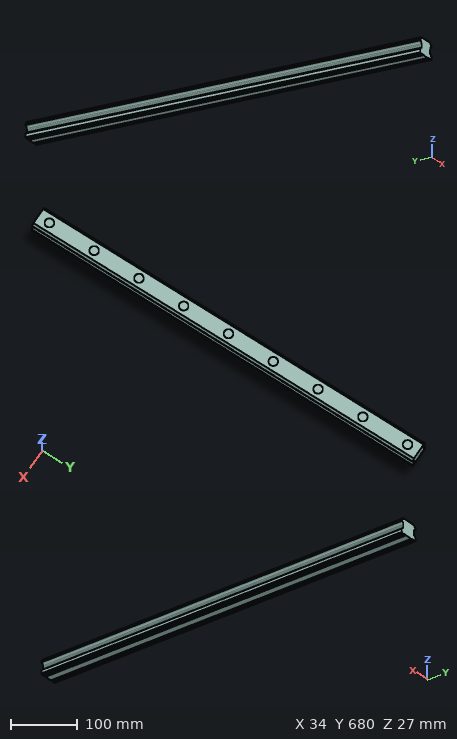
import cadquery as cq

length = 680
width = 34
height = 27

bottom_chamfer = 1.5
base_side_top = 7.0
base_slope_top = 10.0

neck_width = 26.5
waist_width = 26.0
waist_bottom = 13.0
waist_top = 15.0
neck_top = 17.0

half_width = width / 2
head_side_bottom = 20.5
head_side_top = 23.0
lower_groove_mid = (14.0, 19.3)
upper_groove_mid = (15.0, 24.0)
upper_groove_end = (13.5, 26.0)
top_width = 26.5

relief_width = 4.0
relief_depth = 1.0
relief_offset = 9.0

hole_count = 9
hole_pitch = length / 8.5
hole_diameter = 14.0
hole_depth = 1.0


def make_rail():
    """Extrude the right half of the rail section along Y and mirror it about the YZ plane."""
    half_section = (
        cq.Workplane("XZ")
        .lineTo(half_width - bottom_chamfer, 0)
        .lineTo(half_width, bottom_chamfer)
        .lineTo(half_width, base_side_top)
        .lineTo(neck_width / 2, base_slope_top)
        .lineTo(waist_width / 2, waist_bottom)
        .lineTo(waist_width / 2, waist_top)
        .lineTo(neck_width / 2, neck_top)
        .threePointArc(lower_groove_mid, (half_width, head_side_bottom))
        .lineTo(half_width, head_side_top)
        .threePointArc(upper_groove_mid, upper_groove_end)
        .lineTo(top_width / 2, height)
        .lineTo(0, height)
        .close()
    )
    half_rail = half_section.extrude(length / 2, both=True)
    return half_rail.union(half_rail.mirror("YZ"))


def make_relief_grooves():
    """Two shallow full-length grooves in the underside."""
    return (
        cq.Workplane("XY")
        .pushPoints([(-relief_offset, 0), (relief_offset, 0)])
        .rect(relief_width, length)
        .extrude(relief_depth)
    )


def make_mounting_holes():
    """Row of round recesses sunk into the top face, centred along the rail."""
    return (
        cq.Workplane("XY")
        .workplane(offset=height - hole_depth)
        .rarray(7, hole_pitch, 1, hole_count)
        .circle(hole_diameter / 2)
        .extrude(hole_depth)
    )


result = make_rail().cut(make_relief_grooves()).cut(make_mounting_holes())